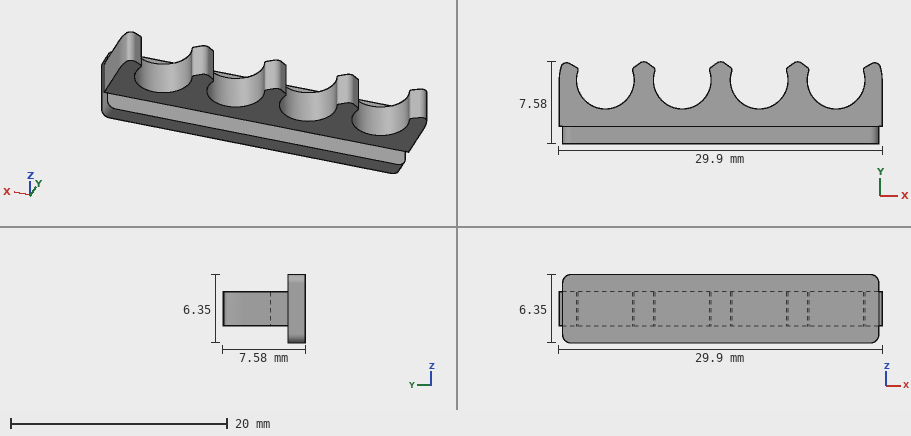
import cadquery as cq
import math

plate_length = 29.2
plate_height = 6.35
plate_thickness = 1.6
plate_corner_radius = 0.8

clip_length = 29.85
clip_height = 3.15
slot_count = 4
slot_pitch = 7.1
slot_radius = 2.65
slot_center_y = 5.88

lip_radius = 0.3
lip_center_offset = 2.8
lead_in_angle = 36.0

rib_top_y = 7.58
rib_crown_half_width = 0.35
rib_crown_drop = 0.12
end_top_y = 7.5
end_crown_center_x = 14.23
end_crown_half_width = 0.27
end_crown_drop = 0.05
end_shoulder_x = 14.7

half_length = clip_length / 2
first_slot_x = -slot_pitch * (slot_count - 1) / 2
end_arc_radius = half_length + first_slot_x

lip_center_distance = slot_radius + lip_radius
lip_center_rise = math.sqrt(lip_center_distance**2 - lip_center_offset**2)
lip_start_offset = lip_center_offset * slot_radius / lip_center_distance
lip_start_rise = lip_center_rise * slot_radius / lip_center_distance
lip_nose_offset = lip_center_offset - lip_radius
lip_nose_rise = lip_center_rise
lip_end_offset = lip_center_offset - lip_radius * math.sin(math.radians(lead_in_angle))
lip_end_rise = lip_center_rise + lip_radius * math.cos(math.radians(lead_in_angle))


def end_side_point(x):
    """Point on the curved outer side of the left end finger."""
    rise = math.sqrt(end_arc_radius**2 - (x - first_slot_x)**2)
    return (x, slot_center_y + rise)


def mirrored(point):
    return (-point[0], point[1])


def add_slot(outline, center_x):
    """Follow one slot from its left lip, around the bottom, to its right lip."""

    def at(offset, rise):
        return (center_x + offset, slot_center_y + rise)

    return (
        outline.lineTo(*at(-lip_end_offset, lip_end_rise))
        .threePointArc(at(-lip_nose_offset, lip_nose_rise), at(-lip_start_offset, lip_start_rise))
        .threePointArc(at(0, -slot_radius), at(lip_start_offset, lip_start_rise))
        .threePointArc(at(lip_nose_offset, lip_nose_rise), at(lip_end_offset, lip_end_rise))
    )


def add_rib_crown(outline, center_x):
    """Rounded top of a finger shared by two slots."""
    crown_edge_y = rib_top_y - rib_crown_drop
    return (
        outline.lineTo(center_x - rib_crown_half_width, crown_edge_y)
        .threePointArc((center_x, rib_top_y), (center_x + rib_crown_half_width, crown_edge_y))
    )


def make_clips():
    side_start = (-half_length, slot_center_y)
    side_middle = end_side_point(-(half_length + end_shoulder_x) / 2)
    side_end = end_side_point(-end_shoulder_x)
    crown_middle = (-end_crown_center_x, end_top_y)
    crown_end = (-end_crown_center_x + end_crown_half_width, end_top_y - end_crown_drop)

    outline = (
        cq.Workplane("XY")
        .moveTo(-half_length, plate_thickness)
        .lineTo(*side_start)
        .threePointArc(side_middle, side_end)
        .threePointArc(crown_middle, crown_end)
    )
    for index in range(slot_count):
        slot_x = first_slot_x + index * slot_pitch
        outline = add_slot(outline, slot_x)
        if index < slot_count - 1:
            outline = add_rib_crown(outline, slot_x + slot_pitch / 2)
    outline = (
        outline.lineTo(*mirrored(crown_end))
        .threePointArc(mirrored(crown_middle), mirrored(side_end))
        .threePointArc(mirrored(side_middle), mirrored(side_start))
        .lineTo(half_length, plate_thickness)
        .close()
    )
    return outline.extrude(clip_height / 2, both=True)


def make_plate():
    return (
        cq.Workplane("XY")
        .box(plate_length, plate_thickness, plate_height)
        .edges("|Y")
        .fillet(plate_corner_radius)
        .translate((0, plate_thickness / 2, 0))
    )


result = make_plate().union(make_clips())